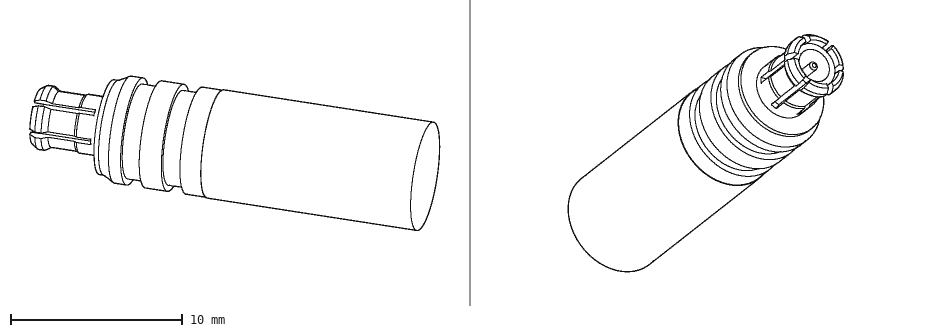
import cadquery as cq

total_length = 23.43

ferrule_diameter = 6.4
ferrule_start = 10.75

land_diameter = 6.33
groove_diameter = 5.6
shoulder_x = 4.2
nose_cone_start = 4.48
nose_cone_end = 5.18
grip_grooves = [(5.9, 7.03), (8.36, 9.5)]

collet_diameter = 3.5
neck_diameter = 3.33
bead_diameter = 3.8
tip_diameter = 3.3
bead_start = 0.37
bead_end = 0.75
neck_start = 1.1
neck_end = 2.7
collet_start = 2.84
bore_diameter = 2.79
slot_width = 0.37
slot_end = 3.7
slot_count = 6

insulator_recess = 0.52
insulator_bore_diameter = 2.05

pin_diameter = 0.52
pin_tip_diameter = 0.25
pin_tip_length = 0.1

bore_depth = shoulder_x
cavity_depth = slot_end
pin_recess = insulator_recess


def cylinder(diameter, start, end):
    """Solid cylinder on the X axis between two X positions."""
    return cq.Workplane("YZ", origin=(start, 0, 0)).circle(diameter / 2).extrude(end - start)


def revolve_profile(points):
    """Solid of revolution about the X axis from (x, radius) points."""
    return cq.Workplane("XY").polyline(points).close().revolve(360, (0, 0, 0), (1, 0, 0))


def make_groove_ring(start, end):
    """Cutter for one grip groove: a ring from the groove floor to outside the lands."""
    return cylinder(ferrule_diameter, start, end).cut(cylinder(groove_diameter, start, end))


def make_slot(angle):
    """Cutter for one radial slot between two spring fingers."""
    slot = cq.Workplane("XY").box(slot_end, bead_diameter, slot_width, centered=(False, False, True))
    return slot.rotate((0, 0, 0), (1, 0, 0), angle)


def make_housing():
    """Grip section with a slotted spring collet in front."""
    housing = revolve_profile([
        (0, 0),
        (0, tip_diameter / 2),
        (bead_start, bead_diameter / 2),
        (bead_end, bead_diameter / 2),
        (neck_start, neck_diameter / 2),
        (neck_end, neck_diameter / 2),
        (collet_start, collet_diameter / 2),
        (shoulder_x, collet_diameter / 2),
        (shoulder_x, groove_diameter / 2),
        (nose_cone_start, groove_diameter / 2),
        (nose_cone_end, land_diameter / 2),
        (ferrule_start, land_diameter / 2),
        (ferrule_start, 0),
    ])
    for start, end in grip_grooves:
        housing = housing.cut(make_groove_ring(start, end))
    housing = housing.cut(cylinder(bore_diameter, 0, bore_depth))
    for i in range(slot_count):
        housing = housing.cut(make_slot(i * 360 / slot_count))
    return housing


def make_insulator():
    """Cup filling the collet bore, with a hole for the pin in its floor."""
    insulator = cylinder(bore_diameter, insulator_recess, bore_depth)
    insulator = insulator.cut(cylinder(insulator_bore_diameter, insulator_recess, cavity_depth))
    return insulator.cut(cylinder(pin_diameter, cavity_depth, bore_depth))


def make_pin():
    """Centre contact with a tapered tip."""
    return revolve_profile([
        (pin_recess, 0),
        (pin_recess, pin_tip_diameter / 2),
        (pin_recess + pin_tip_length, pin_diameter / 2),
        (bore_depth, pin_diameter / 2),
        (bore_depth, 0),
    ])


def make_ferrule():
    """Plain cylinder behind the housing."""
    return cylinder(ferrule_diameter, ferrule_start, total_length)


housing = make_housing()
insulator = make_insulator()
pin = make_pin()
ferrule = make_ferrule()

result = cq.Compound.makeCompound([housing.val(), insulator.val(), pin.val(), ferrule.val()])